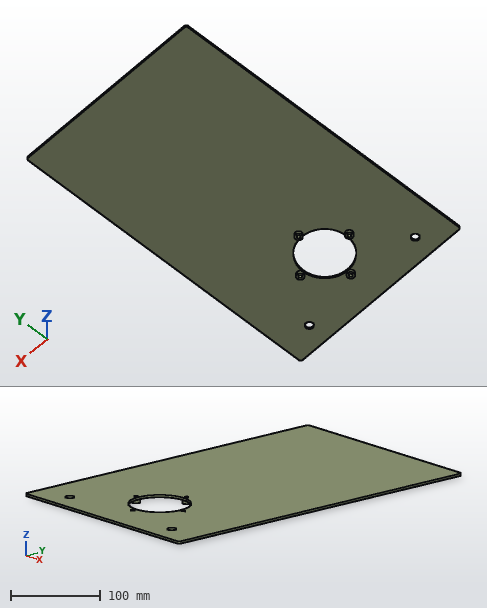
import cadquery as cq

plate_width = 260.0
plate_length = 420.0
total_height = 7.0
plate_thickness = 3.0
corner_radius = 3.0

opening_diameter = 70.0
opening_y = -124.5
boss_circle_radius = 40.0
boss_count = 4
boss_height = total_height - plate_thickness
boss_diameter = 2 * boss_circle_radius - opening_diameter
boss_hole_diameter = 4.0

mount_hole_diameter = 10.0
mount_hole_x = 86.0
mount_hole_edge_distance = 28.0
mount_hole_y = mount_hole_edge_distance - plate_length / 2


def make_plate():
    """Flat plate with rounded vertical corners."""
    blank = cq.Workplane("XY").rect(plate_width, plate_length).extrude(plate_thickness)
    return blank.edges("|Z").fillet(corner_radius)


def boss_ring(diameter, height):
    """Cylinders at the boss centres, rising from the boss ends."""
    return (
        cq.Workplane("XY", origin=(0, opening_y, -boss_height))
        .polarArray(boss_circle_radius, 0, 360, boss_count)
        .circle(diameter / 2)
        .extrude(height)
    )


def through_holes(centres, diameter):
    """Cutters that pass through the plate at the given centres."""
    return cq.Workplane("XY").pushPoints(centres).circle(diameter / 2).extrude(plate_thickness)


mount_hole_centres = [(-mount_hole_x, mount_hole_y), (mount_hole_x, mount_hole_y)]

result = make_plate().cut(through_holes([(0, opening_y)], opening_diameter))
result = result.cut(through_holes(mount_hole_centres, mount_hole_diameter))
result = result.union(boss_ring(boss_diameter, total_height))
result = result.cut(boss_ring(boss_hole_diameter, total_height))